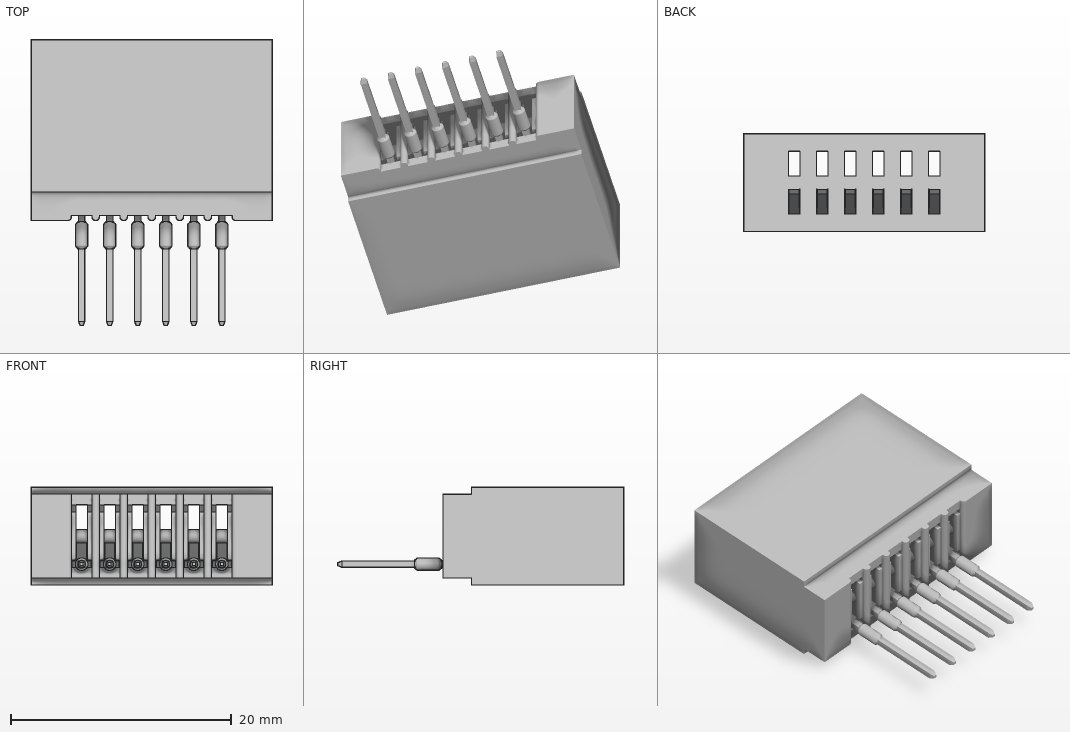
import cadquery as cq
import math

contact_count = 6
pitch = 2.54
row_spacing = 2 * pitch

body_width = 21.84
body_depth = 16.4
body_height = 8.89
step_depth = 2.59
step_height = 0.635

pin_size = 0.6
pin_reach = 9.52
tip_length = 0.4
tip_size = 0.28
barrel_radius = 0.57
barrel_cone_radius = 0.34
barrel_front = -2.3
barrel_back = -0.36
barrel_cone_length = 0.28
barrel_edge_radius = 0.08
wing_width = 1.72
blade_width = 0.94
blade_start = 0.9
blade_thickness = 0.4
bend_start = 2.0
bend_middle = 3.2
bend_middle_height = -1.24
bend_end = 3.8
blade_end = 10.0

rib_radius = 0.35
recess_depth = 0.46

slot_width = 1.016
divider_radius = 0.61
divider_front = 0.95
window_width = pitch - 2 * rib_radius
window_height = row_spacing + pin_size
notch_height = 0.66
notch_depth = 1.0

pin_height = -row_spacing / 2
positions = [(i - (contact_count - 1) / 2) * pitch for i in range(contact_count)]
divider_centre = divider_front + divider_radius


def make_block():
    """Main block with a lower nose at the front, as one side profile."""
    half_height = body_height / 2
    nose_half_height = half_height - step_height
    profile = (
        cq.Workplane("YZ")
        .moveTo(0, -nose_half_height)
        .lineTo(step_depth, -nose_half_height)
        .lineTo(step_depth, -half_height)
        .lineTo(body_depth, -half_height)
        .lineTo(body_depth, half_height)
        .lineTo(step_depth, half_height)
        .lineTo(step_depth, nose_half_height)
        .lineTo(0, nose_half_height)
        .close()
    )
    return profile.extrude(body_width / 2, both=True)


def make_recess(x):
    """Front recess over the full height, with sides that leave round-nosed ribs."""
    half_pitch = pitch / 2
    half_floor = window_width / 2
    arc_side = rib_radius * math.sin(math.pi / 4)
    arc_depth = rib_radius - arc_side
    return (
        cq.Workplane("XY")
        .moveTo(x - half_pitch, 0)
        .threePointArc((x - half_pitch + arc_side, arc_depth), (x - half_floor, rib_radius))
        .lineTo(x - half_floor, recess_depth)
        .lineTo(x + half_floor, recess_depth)
        .lineTo(x + half_floor, rib_radius)
        .threePointArc((x + half_pitch - arc_side, arc_depth), (x + half_pitch, 0))
        .close()
        .extrude(body_height / 2, both=True)
    )


def make_divider(x):
    """Bar between the two rows, round at the front, that splits one slot."""
    straight_length = body_depth - divider_centre
    nose = (
        cq.Workplane("YZ", origin=(x, divider_centre, 0))
        .circle(divider_radius)
        .extrude(slot_width / 2, both=True)
    )
    bar = cq.Workplane("XY").box(
        slot_width, straight_length, 2 * divider_radius, centered=(True, False, True)
    ).translate((x, divider_centre, 0))
    return nose.union(bar)


def make_opening(x):
    """Slot through the housing, widened at its top and bottom by shallow notches."""
    slot = cq.Workplane("XY").box(
        slot_width, body_depth, window_height, centered=(True, False, True)
    ).translate((x, 0, 0))
    opening = slot.cut(make_divider(x))
    notch_centre = (window_height - notch_height) / 2
    for side in (-1, 1):
        notch = cq.Workplane("XY").box(
            window_width, recess_depth + notch_depth, notch_height, centered=(True, False, True)
        ).translate((x, 0, side * notch_centre))
        opening = opening.union(notch)
    return opening


def make_housing():
    housing = make_block()
    for x in positions:
        housing = housing.cut(make_recess(x))
        housing = housing.cut(make_opening(x))
    return housing


def make_pin():
    """Square pin with a tapered tip, running back to the blade."""
    shank_end = -pin_reach + tip_length
    shank_length = blade_start - shank_end
    shank = cq.Workplane("XY").box(
        pin_size, shank_length, pin_size, centered=(True, False, True)
    ).translate((0, shank_end, 0))
    tip = (
        cq.Workplane("XZ", origin=(0, shank_end, 0))
        .rect(pin_size, pin_size)
        .workplane(offset=tip_length)
        .rect(tip_size, tip_size)
        .loft()
    )
    return shank.union(tip)


def make_barrel():
    """Round barrel around the pin, with a cone at each end."""
    barrel = (
        cq.Workplane("XY")
        .moveTo(0, barrel_front - barrel_cone_length)
        .lineTo(barrel_cone_radius, barrel_front - barrel_cone_length)
        .lineTo(barrel_radius, barrel_front)
        .lineTo(barrel_radius, barrel_back)
        .lineTo(barrel_cone_radius, barrel_back + barrel_cone_length)
        .lineTo(0, barrel_back + barrel_cone_length)
        .close()
        .revolve(360, (0, 0, 0), (0, 1, 0))
    )
    return barrel.edges(cq.selectors.RadiusNthSelector(-1)).fillet(barrel_edge_radius)


def make_wings():
    """Shoulder across the blade that rests against the back of the notch."""
    wing_depth = recess_depth + notch_depth - blade_start
    return cq.Workplane("XY").box(
        wing_width, wing_depth, pin_size, centered=(True, False, True)
    ).translate((0, blade_start, 0))


def make_blade():
    """Blade that rises in two slopes until it meets the underside of the divider."""
    half_pin = pin_size / 2
    middle_top = bend_middle_height - pin_height
    end_top = -divider_radius - pin_height
    return (
        cq.Workplane("YZ")
        .moveTo(blade_start, -half_pin)
        .lineTo(bend_start, -half_pin)
        .lineTo(bend_middle, middle_top - blade_thickness)
        .lineTo(bend_end, end_top - blade_thickness)
        .lineTo(blade_end, end_top - blade_thickness)
        .lineTo(blade_end, end_top)
        .lineTo(bend_end, end_top)
        .lineTo(bend_middle, middle_top)
        .lineTo(bend_start, half_pin)
        .lineTo(blade_start, half_pin)
        .close()
        .extrude(blade_width / 2, both=True)
    )


def make_contact(x):
    contact = make_pin().union(make_barrel()).union(make_wings()).union(make_blade())
    return contact.translate((x, 0, pin_height))


housing = make_housing().solids()
contacts = [make_contact(x).solids() for x in positions]

result = cq.Compound.makeCompound([housing.val(), *[contact.val() for contact in contacts]])